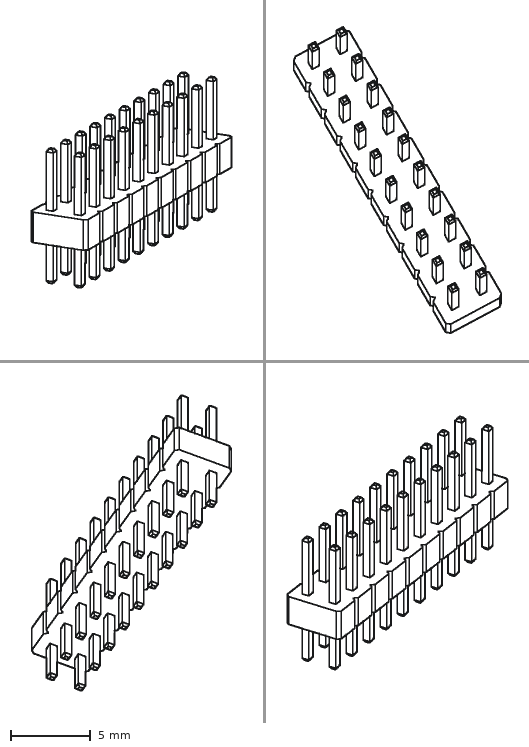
import cadquery as cq

pitch = 2.0
columns = 2
rows = 10

body_width = columns * pitch
body_length = rows * pitch
body_height = 2.0
notch_depth = 0.25
notch_half_width = 0.2

pin_width = 0.5
tip_width = pin_width / 2
taper_height = 0.18
pin_above = 4.0
pin_below = 2.8


def make_body():
    """Block with V notches between rows, each row end cut like half a notch."""
    side_x = body_width / 2
    root_x = side_x - notch_depth
    right_side = []
    for row in range(rows):
        row_start = row * pitch - body_length / 2
        row_end = row_start + pitch
        right_side += [
            (root_x, row_start),
            (side_x, row_start + notch_half_width),
            (side_x, row_end - notch_half_width),
        ]
    right_side.append((root_x, body_length / 2))
    left_side = [(-x, y) for x, y in reversed(right_side)]
    return cq.Workplane("XY").polyline(right_side + left_side).close().extrude(body_height)


def make_taper(base_z, tip_z):
    """Square frustum narrowing from the pin shank to the flat tip."""
    return (
        cq.Workplane("XY", origin=(0, 0, base_z))
        .rect(pin_width, pin_width)
        .workplane(offset=tip_z - base_z)
        .rect(tip_width, tip_width)
        .loft(ruled=True)
    )


def make_pin():
    """One pin on the Z axis, passing right through the body."""
    top_z = body_height + pin_above
    bottom_z = -pin_below
    shank_top = top_z - taper_height
    shank_bottom = bottom_z + taper_height
    shank = (
        cq.Workplane("XY", origin=(0, 0, shank_bottom))
        .rect(pin_width, pin_width)
        .extrude(shank_top - shank_bottom)
    )
    top_taper = make_taper(shank_top, top_z)
    bottom_taper = make_taper(shank_bottom, bottom_z)
    return shank.union(top_taper).union(bottom_taper)


pin = make_pin().val()
pins = (
    cq.Workplane("XY")
    .rarray(pitch, pitch, columns, rows)
    .eachpoint(lambda place: pin.moved(place))
)

result = make_body().union(pins)